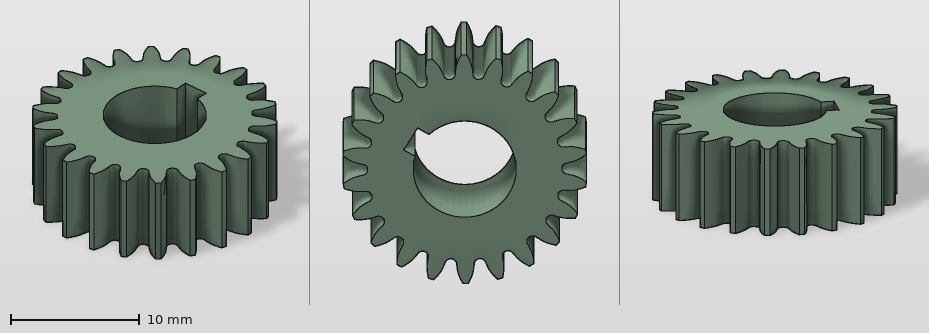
import cadquery as cq
import math

tooth_count = 22
tip_radius = 9.52
pressure_angle = math.radians(20)
tooth_fraction = 0.45
first_tooth_angle = math.radians(1.6)
face_width = 7.1

module = 2 * tip_radius / (tooth_count + 2)
pitch_radius = module * tooth_count / 2
base_radius = pitch_radius * math.cos(pressure_angle)

root_radius = 7.55
gap_radius = 0.45

bore_radius = 4.0
key_width = 2.11
key_top = 4.9

tooth_pitch = 2 * math.pi / tooth_count
pitch_half_angle = tooth_fraction * tooth_pitch / 2
flank_points = 6


def polar(radius, angle):
    return radius * math.cos(angle), radius * math.sin(angle)


def involute(angle):
    return math.tan(angle) - angle


def tooth_half_angle(radius):
    """Half the angle spanned by a tooth at a radius on its involute flank."""
    flank_angle = math.acos(min(1, base_radius / radius))
    return pitch_half_angle + involute(pressure_angle) - involute(flank_angle)


def flank(center_angle, side):
    """Involute flank from base circle to tip; side is -1 or +1."""
    points = []
    for step in range(flank_points):
        radius = base_radius + (tip_radius - base_radius) * step / (flank_points - 1)
        points.append(polar(radius, center_angle + side * tooth_half_angle(radius)))
    return points


def make_gear_body():
    gap_center = root_radius + gap_radius
    gap_end_radius = math.hypot(gap_center, gap_radius)
    gap_half_angle = math.atan2(gap_radius, gap_center)

    start = flank(first_tooth_angle, -1)[0]
    outline = cq.Workplane("XY").moveTo(*start)
    for tooth in range(tooth_count):
        center = first_tooth_angle + tooth * tooth_pitch
        gap = center + tooth_pitch / 2
        rising = flank(center, -1)
        falling = flank(center, 1)[::-1]
        next_start = flank(center + tooth_pitch, -1)[0]

        outline = outline.spline(rising[1:], includeCurrent=True)
        outline = outline.threePointArc(polar(tip_radius, center), falling[0])
        outline = outline.spline(falling[1:], includeCurrent=True)
        outline = outline.lineTo(*polar(gap_end_radius, gap - gap_half_angle))
        outline = outline.threePointArc(
            polar(root_radius, gap), polar(gap_end_radius, gap + gap_half_angle)
        )
        if tooth < tooth_count - 1:
            outline = outline.lineTo(*next_start)
    return outline.close().extrude(face_width)


def make_keyed_bore():
    bore = cq.Workplane("XY").circle(bore_radius).extrude(face_width)
    keyway = (
        cq.Workplane("XY")
        .center(0, key_top / 2)
        .rect(key_width, key_top)
        .extrude(face_width)
    )
    return bore.union(keyway)


result = make_gear_body().cut(make_keyed_bore())